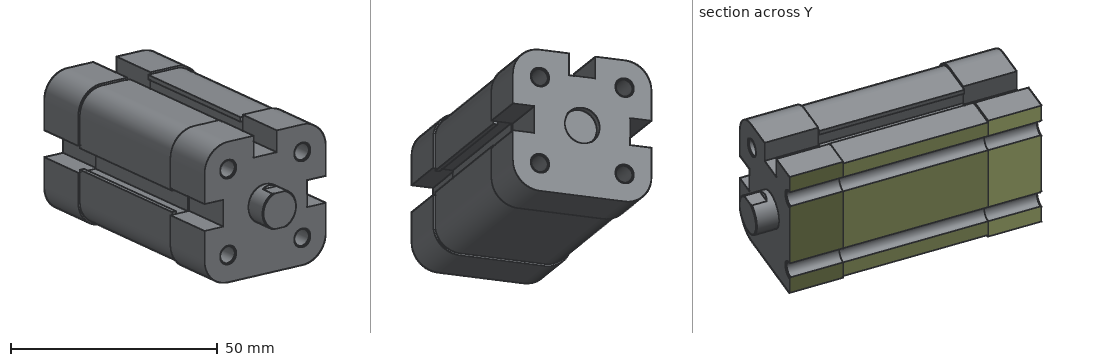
import cadquery as cq


total_length = 73.0
cap_length = 14.2
barrel_length = 38.5
rear_cap_start = 0.0
barrel_start = rear_cap_start + cap_length
front_cap_start = barrel_start + barrel_length

cap_width = 36.0
cap_corner_radius = 6.9
barrel_inset = 0.5
barrel_width = cap_width - 2 * barrel_inset
barrel_corner_radius = cap_corner_radius - barrel_inset

groove_turns = (-90, 0, 90)
cap_groove_width = 6.85
cap_groove_floor = 12.4
barrel_groove_width = cap_groove_width
barrel_groove_floor = 12.85
lip_gap = 5.5
lip_thickness = 1.2

hole_pitch = 22.0
hole_diameter = 4.2
hole_chamfer = 0.3

recess_diameter = 9.05
recess_depth = 2.0

rod_diameter = 10.0
rod_tip_chamfer = 0.2
flat_spacing = 9.1
flat_length = 4.15


def square_bar(width, corner_radius, start, length):
    """Square bar along X with rounded long edges."""
    return (
        cq.Workplane("YZ")
        .workplane(offset=start)
        .rect(width, width)
        .extrude(length)
        .edges("|X")
        .fillet(corner_radius)
    )


def cut_grooves(bar, width, floor, top, start, length):
    """Cut a rectangular channel from height floor to height top into each grooved side."""
    channel = (
        cq.Workplane("YZ")
        .workplane(offset=start)
        .center(0, (floor + top) / 2)
        .rect(width, top - floor)
        .extrude(length)
    )
    for turn in groove_turns:
        bar = bar.cut(channel.rotate((0, 0, 0), (1, 0, 0), turn))
    return bar


def drill_corner_holes(bar, start, length):
    """Drill the four through holes parallel to X."""
    drills = (
        cq.Workplane("YZ")
        .workplane(offset=start)
        .rect(hole_pitch, hole_pitch, forConstruction=True)
        .vertices()
        .circle(hole_diameter / 2)
        .extrude(length)
    )
    return bar.cut(drills)


def chamfer_corner_holes(cap, face_selector):
    """Chamfer the corner holes, the smallest circles on the selected end face."""
    smallest_circles = cq.selectors.RadiusNthSelector(0)
    rims = cap.faces(face_selector).edges("%CIRCLE").edges(smallest_circles)
    return rims.chamfer(hole_chamfer)


def make_cap(start):
    """Grooved end cap with the four corner holes."""
    cap = square_bar(cap_width, cap_corner_radius, start, cap_length)
    cap = cut_grooves(cap, cap_groove_width, cap_groove_floor, cap_width / 2, start, cap_length)
    return drill_corner_holes(cap, start, cap_length)


def make_rear_cap():
    """End cap with a blind round recess in its outer face."""
    cap = chamfer_corner_holes(make_cap(rear_cap_start), "<X")
    recess = cq.Workplane("YZ").circle(recess_diameter / 2).extrude(recess_depth)
    return cap.cut(recess)


def make_front_cap():
    """End cap bored through for the piston rod."""
    cap = chamfer_corner_holes(make_cap(front_cap_start), ">X")
    bore = (
        cq.Workplane("YZ")
        .workplane(offset=front_cap_start)
        .circle(rod_diameter / 2)
        .extrude(cap_length)
    )
    return cap.cut(bore)


def make_barrel():
    """Barrel whose grooves are narrowed by a pair of lips at the mouth."""
    bar = square_bar(barrel_width, barrel_corner_radius, barrel_start, barrel_length)
    surface = barrel_width / 2
    bar = cut_grooves(bar, lip_gap, barrel_groove_floor, surface, barrel_start, barrel_length)
    bar = cut_grooves(
        bar,
        barrel_groove_width,
        barrel_groove_floor,
        surface - lip_thickness,
        barrel_start,
        barrel_length,
    )
    return drill_corner_holes(bar, barrel_start, barrel_length)


def make_rod():
    """Rod through the front cap, with two wrench flats whose inner ends slope at 45 degrees."""
    radius = rod_diameter / 2
    flat_height = flat_spacing / 2
    flat_start = total_length - flat_length
    rod = (
        cq.Workplane("YZ")
        .workplane(offset=front_cap_start)
        .circle(radius)
        .extrude(total_length - front_cap_start)
        .faces(">X")
        .chamfer(rod_tip_chamfer)
    )
    flat_cut = (
        cq.Workplane("XZ")
        .moveTo(flat_start, flat_height)
        .lineTo(total_length, flat_height)
        .lineTo(total_length, radius)
        .lineTo(flat_start - (radius - flat_height), radius)
        .close()
        .extrude(radius, both=True)
    )
    return rod.cut(flat_cut).cut(flat_cut.mirror("XY"))


rear_cap = make_rear_cap()
barrel = make_barrel()
front_cap = make_front_cap()
rod = make_rod()

result = cq.Compound.makeCompound([rear_cap.val(), barrel.val(), front_cap.val(), rod.val()])